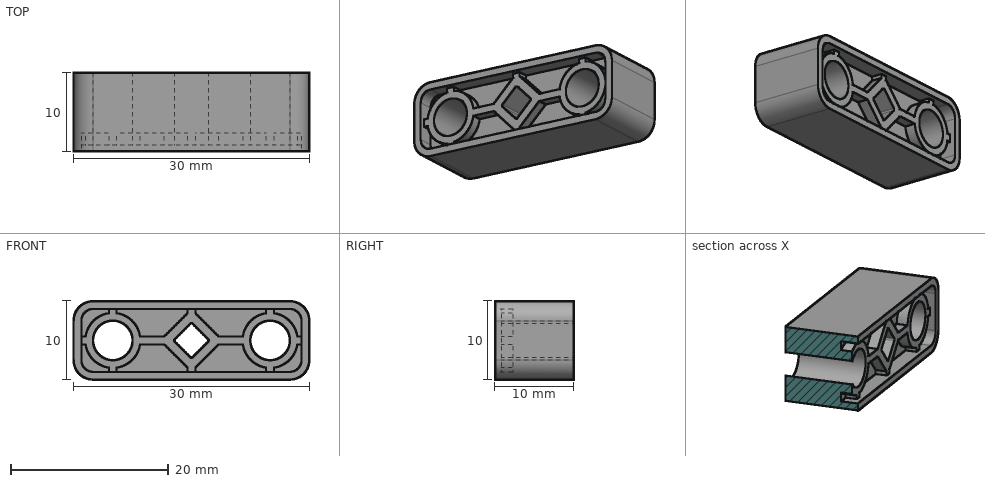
import cadquery as cq

length = 30.0
depth = 10.0
height = 10.0
corner_radius = 2.5

wall = 1.0
pocket_depth = 2.3
rib_recess = 0.8
rib_width = 1.0

hole_spacing = 20.0
hole_diameter = 5.0
boss_diameter = 7.0

diamond_side = 5.6
diamond_wall = 1.2
diamond_hole_corner_radius = 0.2
diamond_angle = 45.0

pocket_length = length - 2 * wall
pocket_height = height - 2 * wall
pocket_corner_radius = corner_radius - wall
diamond_hole_side = diamond_side - 2 * diamond_wall
front_y = -depth / 2
rib_front_y = front_y + rib_recess
rib_depth = pocket_depth - rib_recess
hole_x = hole_spacing / 2
hole_centers = [(-hole_x, 0), (hole_x, 0)]


def plane_at(y):
    """Plane parallel to XZ at y; negative extrusions run toward +Y."""
    return cq.Workplane("XZ", origin=(0, y, 0))


def rounded_block(size_x, size_z, radius, start_y, size_y):
    """Block running toward +Y with its four long edges rounded."""
    block = plane_at(start_y).rect(size_x, size_z).extrude(-size_y)
    return block.edges("|Y").fillet(radius)


def diamond_prism(side, start_y, size_y):
    """Square prism turned to stand on a corner."""
    square = plane_at(start_y).rect(side, side).extrude(-size_y)
    return square.rotate((0, 0, 0), (0, 1, 0), diamond_angle)


def round_cylinders(diameter, start_y, size_y):
    """Pair of cylinders at the two hole centers."""
    return plane_at(start_y).pushPoints(hole_centers).circle(diameter / 2).extrude(-size_y)


def rib_framework():
    """Bosses and ribs standing on the pocket floor."""
    base = plane_at(rib_front_y)
    framework = base.rect(pocket_length, rib_width).extrude(-rib_depth)
    for x in (-hole_x, 0, hole_x):
        upright = base.center(x, 0).rect(rib_width, pocket_height).extrude(-rib_depth)
        framework = framework.union(upright)
    framework = framework.union(round_cylinders(boss_diameter, rib_front_y, rib_depth))
    return framework.union(diamond_prism(diamond_side, rib_front_y, rib_depth))


def through_openings():
    """Two round holes and the central square hole, through the full depth."""
    diamond_hole = diamond_prism(diamond_hole_side, front_y, depth)
    diamond_hole = diamond_hole.edges("|Y").fillet(diamond_hole_corner_radius)
    return round_cylinders(hole_diameter, front_y, depth).union(diamond_hole)


body = rounded_block(length, height, corner_radius, front_y, depth)
pocket = rounded_block(pocket_length, pocket_height, pocket_corner_radius, front_y, pocket_depth)
result = body.cut(pocket).union(rib_framework()).cut(through_openings())